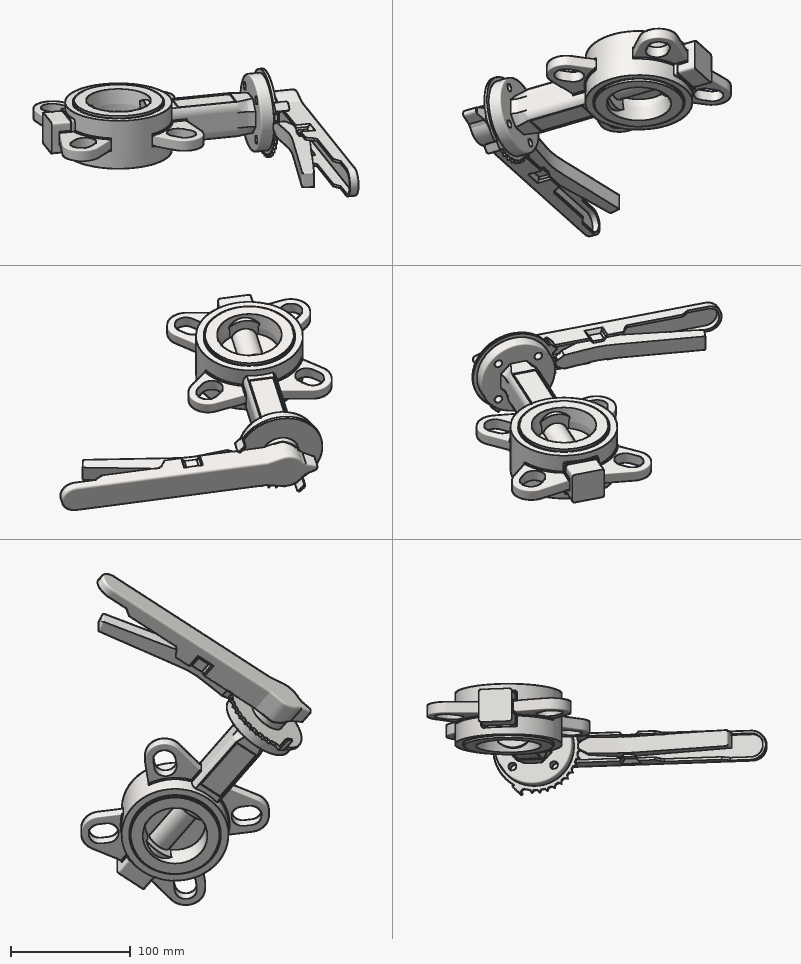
import cadquery as cq
import math


body_radius = 44.7
body_half = 21.5
seat_radius = 37.0
seat_half = 23.0
seat_gap_radius = 38.5
seat_gap_depth = 0.8
bore_mouth_radius = 27.0
bore_throat_radius = 25.3
throat_half = 10.4

disc_half = 3.5
disc_hub_radius = 11.0
stem_seat_radius = 19.7
stem_seat_y = 22.2

lug_center = 44.5
lug_radius = 16.5
lug_half = 4.8
lug_fillet = 0.8
lug_root = 1.0
slot_radius = 9.3
slot_inner = 40.5
slot_outer = 45.0
web_y = 55.3
web_start_x = 12.6
web_bend_x = 18.0
web_slope = 10.0

neck_half_x = 14.1
neck_half_z = 15.5
neck_flat_x = 11.0
neck_flat_z = 6.8
neck_corner_bulge = 0.8
neck_flare_y = 100.3
flare_mid_y = 109.0
flare_mid_flat_x = 8.3
flare_half_x = 15.7
flare_flat_x = 7.0
label_half_x = 10.0
label_bottom_y = 49.2
label_top_y = 99.5
label_depth = 1.0

foot_y = -62.0
foot_half_z = 14.0
foot_fillet = 2.3
root_y = -45.5
root_half_x = 15.2
root_half_z = 15.5

flange_bottom_y = 114.7
flange_top_y = 125.8
flange_radius = 32.8
flange_fillet = 1.3
bolt_offset = 17.7
bolt_radius = 3.3

plate_top_y = 128.3
plate_radius = 36.0
tooth_root_radius = 34.0
tooth_tip_radius = 38.5
tooth_count = 11
tooth_pitch = 10.0
tooth_sector_mid = 315.0
tab_angle = 70.0
tab_radius = 39.1
tab_width = 8.3
tab_thickness = 1.8
tab_arm = 7.5
tab_tilt = 20.0
tab_top_y = 138.1
tab_fillet = 2.0

hub_radius = 15.5
head_radius = 16.2
lever_top_y = 155.0
lever_bottom_y = 134.0
lever_half = 12.5
lever_tip_x = 191.7
lever_fillet = 2.0
lever_wall = 2.3
lever_roof = 2.0
cheek_start_x = 16.7
cavity_start_x = 19.2

tail_tip_x = -26.8
tail_tip_half = 3.0
tail_tip_y = 142.0
tail_slope_start_x = -24.5
tail_slope_end_x = -1.3
tail_neck_x = -16.7
tail_neck_half = 5.8
tail_root_half = 8.3

deep_end_x = 100.0
step_corner_x = 103.8
step_corner_y = 140.7
shallow_start_x = 106.3
shallow_y = 142.7
shallow_end_x = 155.3
grip_start_x = 161.6
grip_y = 147.2

dimple_x = 77.8
dimple_half_x = 8.0
dimple_top_y = 146.5
dimple_floor_z = 8.8
dimple_wall = 1.5
dimple_taper = 40.0

trigger_half = 6.8
trigger_end_fillet = 1.3
pawl_tip = (36.5, 124.0)
pawl_top = (38.5, 130.0)
pawl_tip_half = 2.5
pawl_root_x = 44.5
pawl_root_bottom_y = 124.8
pawl_root_top_y = 132.0
belly_start = (64.0, 126.8)
belly_top = (74.5, 127.5)
belly_end = (91.7, 125.8)
squeeze_end_bottom = (165.5, 113.0)
squeeze_end_top = (167.7, 122.7)
pivot_right = (83.3, 142.2)
pivot_left = (70.7, 144.0)


def box(x0, x1, y0, y1, z0, z1):
    return cq.Workplane("XY").box(x1 - x0, y1 - y0, z1 - z0, centered=False).translate((x0, y0, z0))


def disk_z(radius, z0, z1):
    return cq.Workplane("XY").workplane(offset=z0).circle(radius).extrude(z1 - z0)


def stem_plane(y):
    """Plane across the stem at height y: local x is X, local y is Z, normal is -Y."""
    return cq.Workplane("XZ", origin=(0, y, 0))


def disk_y(radius, y0, y1):
    return stem_plane(y1).circle(radius).extrude(y1 - y0)


def polar(radius, degrees):
    angle = math.radians(degrees)
    return (radius * math.cos(angle), radius * math.sin(angle))


def lug(half_z):
    """Slotted lug of the +X +Y quarter, reaching in to the body axis."""
    def on_rim(degrees):
        dx, dy = polar(lug_radius, degrees)
        return (lug_center + dx, lug_center + dy)

    bend_y = web_y + (web_bend_x - web_start_x) / 2 * math.tan(math.radians(web_slope))
    side_reach = lug_radius * math.sqrt(2)
    shape = (
        cq.Workplane("XY").workplane(offset=-half_z)
        .moveTo(0, 0)
        .lineTo(side_reach, 0)
        .lineTo(*on_rim(-45))
        .threePointArc(on_rim(30), on_rim(90 + web_slope))
        .lineTo(web_bend_x, bend_y)
        .tangentArcPoint((web_start_x, web_y), relative=False)
        .lineTo(0, web_y)
        .close()
        .extrude(2 * half_z)
    )
    shape = shape.faces("|Z").edges().fillet(lug_fillet)
    middle = (slot_inner + slot_outer) / 2
    length = (slot_outer - slot_inner) * math.sqrt(2) + 2 * slot_radius
    slot = (
        cq.Workplane("XY", origin=(middle, middle, -half_z))
        .slot2D(length, 2 * slot_radius, 45)
        .extrude(2 * half_z)
    )
    return shape.cut(slot)


def four_lugs(half_z):
    upper_right = lug(half_z)
    right = upper_right.union(upper_right.mirror("XZ"))
    return right.union(right.mirror("YZ"))


def lugs():
    """The four lugs with sloping roots against the body ring and the neck."""
    root_z = lug_half + lug_root
    ring_root = disk_z(body_radius + lug_root, -root_z, root_z).edges().chamfer(lug_root)
    neck_root_x = neck_half_x + lug_root
    neck_root = box(-neck_root_x, neck_root_x, -web_y, web_y, -root_z, root_z)
    neck_root = neck_root.edges("|Y").chamfer(lug_root)
    return four_lugs(lug_half).union(four_lugs(root_z).intersect(ring_root)).union(neck_root)


def neck_section(y):
    mid_x = (neck_half_x + neck_flat_x) / 2 + neck_corner_bulge
    mid_z = (neck_half_z + neck_flat_z) / 2 + neck_corner_bulge
    return (
        stem_plane(y)
        .moveTo(neck_half_x, -neck_flat_z)
        .lineTo(neck_half_x, neck_flat_z)
        .threePointArc((mid_x, mid_z), (neck_flat_x, neck_half_z))
        .lineTo(-neck_flat_x, neck_half_z)
        .threePointArc((-mid_x, mid_z), (-neck_half_x, neck_flat_z))
        .lineTo(-neck_half_x, -neck_flat_z)
        .threePointArc((-mid_x, -mid_z), (-neck_flat_x, -neck_half_z))
        .lineTo(neck_flat_x, -neck_half_z)
        .threePointArc((mid_x, -mid_z), (neck_half_x, -neck_flat_z))
        .close()
    )


def flare_section(y, half_x, flat_x):
    half_z, flat_z = neck_half_z, neck_flat_z
    points = [
        (half_x, -flat_z), (half_x, flat_z), (flat_x, half_z), (-flat_x, half_z),
        (-half_x, flat_z), (-half_x, -flat_z), (-flat_x, -half_z), (flat_x, -half_z),
    ]
    return stem_plane(y).polyline(points).close()


def ruled_loft(*sections):
    return cq.Workplane(cq.Solid.makeLoft([section.wire().val() for section in sections], True))


def neck():
    shaft = neck_section(neck_flare_y).extrude(neck_flare_y)
    middle = flare_section(flare_mid_y, neck_half_x, flare_mid_flat_x)
    end = flare_section(flange_bottom_y, flare_half_x, flare_flat_x)
    flare = ruled_loft(neck_section(neck_flare_y), middle, end)
    label = box(-label_half_x, label_half_x, label_bottom_y, label_top_y,
                neck_half_z - label_depth, neck_half_z)
    return shaft.cut(label).cut(label.mirror("XY")).union(flare)


def foot():
    """Square boss below the body, on a slightly wider root."""
    block = box(-neck_half_x, neck_half_x, foot_y, 0, -foot_half_z, foot_half_z)
    root = box(-root_half_x, root_half_x, root_y, 0, -root_half_z, root_half_z)
    return block.edges("|Y").fillet(foot_fillet).union(root.edges("|Y").fillet(foot_fillet))


def body():
    ring = disk_z(body_radius, -body_half, body_half)
    shape = ring.union(lugs()).union(neck()).union(foot())
    gap = (
        cq.Workplane("XY").workplane(offset=body_half - seat_gap_depth)
        .circle(seat_gap_radius).circle(seat_radius).extrude(seat_gap_depth)
    )
    shape = shape.cut(gap).cut(gap.mirror("XY"))
    shape = shape.union(disk_z(seat_radius, -seat_half, seat_half))
    return shape.cut(bore())


def bore():
    """Straight throat around the disc, opening as a cone towards both faces."""
    return (
        cq.Workplane("XZ")
        .moveTo(0, -seat_half)
        .lineTo(bore_mouth_radius, -seat_half)
        .lineTo(bore_throat_radius, -throat_half)
        .lineTo(bore_throat_radius, throat_half)
        .lineTo(bore_mouth_radius, seat_half)
        .lineTo(0, seat_half)
        .close()
        .revolve(360, (0, 0, 0), (0, 1, 0))
    )


def disc():
    """Closed disc on its stem hub, carried between two round stem seats in the bore."""
    plate = disk_z(bore_throat_radius, -disc_half, disc_half)
    hub = disk_y(disc_hub_radius, -stem_seat_y, stem_seat_y)
    upper_seat = disk_y(stem_seat_radius, stem_seat_y, body_radius)
    reach = disk_z((bore_mouth_radius + seat_radius) / 2, -seat_half, seat_half)
    seats = upper_seat.union(upper_seat.mirror("XZ")).intersect(reach)
    return plate.union(hub).union(seats)


def flange():
    shape = disk_y(flange_radius, flange_bottom_y, flange_top_y).faces("<Y").edges().fillet(flange_fillet)
    holes = (
        stem_plane(flange_top_y)
        .rect(2 * bolt_offset, 2 * bolt_offset, forConstruction=True)
        .vertices().circle(bolt_radius)
        .extrude(flange_top_y - flange_bottom_y)
    )
    return shape.cut(holes)


def ratchet_tab(side):
    """Stop tab at one end of the toothed sector; side is -1 or 1."""
    tab = (
        cq.Workplane("XY")
        .box(tab_thickness, tab_top_y - flange_top_y, tab_width)
        .edges("|X and >Y").fillet(tab_fillet)
        .translate((0, (tab_top_y + flange_top_y) / 2, 0))
    )
    angle = tooth_sector_mid + side * tab_angle
    x, z = polar(tab_radius - tab_thickness / 2, angle)
    arm = box(-tab_arm, 0, flange_top_y, plate_top_y, -tab_width / 2, tab_width / 2)
    turned = tab.union(arm).rotate((0, 0, 0), (0, 1, 0), -angle - side * tab_tilt)
    return turned.translate((x, 0, z))


def ratchet_plate():
    thickness = plate_top_y - flange_top_y
    plate = disk_y(plate_radius, flange_top_y, plate_top_y)
    first_tip = tooth_sector_mid - (tooth_count - 1) / 2 * tooth_pitch
    for index in range(tooth_count):
        tip = first_tip + index * tooth_pitch
        points = [
            polar(tooth_root_radius, tip - tooth_pitch / 2),
            polar(plate_radius, tip - tooth_pitch / 4),
            polar(tooth_tip_radius, tip),
            polar(plate_radius, tip + tooth_pitch / 4),
            polar(tooth_root_radius, tip + tooth_pitch / 2),
        ]
        tooth = stem_plane(plate_top_y).polyline(points).close().extrude(thickness)
        plate = plate.union(tooth)
    return plate.union(ratchet_tab(-1)).union(ratchet_tab(1))


def lever_plan():
    """Lever outline across the stem: pointed tail, round head, tapering cheeks and long round-ended grip."""
    cheek_reach = math.hypot(cheek_start_x, lever_half)
    cheek_angle = math.atan2(lever_half, cheek_start_x) + math.acos(head_radius / cheek_reach)
    tail_angle = math.pi - math.asin(tail_root_half / head_radius)
    cheek_x, cheek_z = polar(head_radius, math.degrees(cheek_angle))
    tail_x, tail_z = polar(head_radius, math.degrees(tail_angle))
    side_x, side_z = polar(head_radius, math.degrees((cheek_angle + tail_angle) / 2))
    grip_center_x = lever_tip_x - lever_half
    return (
        stem_plane(lever_top_y)
        .moveTo(cheek_x, -cheek_z)
        .lineTo(cheek_start_x, -lever_half)
        .lineTo(grip_center_x, -lever_half)
        .threePointArc((lever_tip_x, 0), (grip_center_x, lever_half))
        .lineTo(cheek_start_x, lever_half)
        .lineTo(cheek_x, cheek_z)
        .threePointArc((side_x, side_z), (tail_x, tail_z))
        .lineTo(tail_neck_x, tail_neck_half)
        .lineTo(tail_slope_start_x, tail_tip_half)
        .threePointArc((tail_tip_x, 0), (tail_slope_start_x, -tail_tip_half))
        .lineTo(tail_neck_x, -tail_neck_half)
        .lineTo(tail_x, -tail_z)
        .threePointArc((side_x, -side_z), (cheek_x, -cheek_z))
        .close()
        .extrude(lever_top_y - lever_bottom_y)
    )


def lever_profile():
    """Side outline of the lever: sloping tail, deep middle and thin grip."""
    return (
        cq.Workplane("XY").workplane(offset=-head_radius)
        .moveTo(tail_tip_x, lever_top_y)
        .lineTo(tail_tip_x, tail_tip_y)
        .lineTo(tail_slope_start_x, tail_tip_y)
        .lineTo(tail_slope_end_x, lever_bottom_y)
        .lineTo(deep_end_x, lever_bottom_y)
        .lineTo(step_corner_x, step_corner_y)
        .lineTo(shallow_start_x, shallow_y)
        .lineTo(shallow_end_x, shallow_y)
        .lineTo(grip_start_x, grip_y)
        .lineTo(lever_tip_x, grip_y)
        .lineTo(lever_tip_x, lever_top_y)
        .close()
        .extrude(2 * head_radius)
    )


def lever_cavity():
    """Hollow under the lever, leaving side walls and a roof."""
    half = lever_half - lever_wall
    end_x = lever_tip_x - lever_half
    roof_y = lever_top_y - lever_roof
    return (
        stem_plane(roof_y)
        .moveTo(cavity_start_x, -half)
        .lineTo(end_x, -half)
        .threePointArc((end_x + half, 0), (end_x, half))
        .lineTo(cavity_start_x, half)
        .close()
        .extrude(roof_y - lever_bottom_y)
    )


def dimple(half_x, top_y, outer_z, inner_z):
    """Tapered plug on the +Z wall, narrowing inwards and open at the lower edge of the lever."""
    height = 2 * (top_y - lever_bottom_y)
    plug = (
        cq.Workplane("XY", origin=(dimple_x, lever_bottom_y, outer_z))
        .rect(2 * half_x, height)
        .extrude(inner_z - outer_z, taper=dimple_taper)
    )
    return plug.intersect(box(0, lever_tip_x, lever_bottom_y, lever_top_y, 0, head_radius))


def lever():
    shape = lever_plan().faces(">Y").edges().fillet(lever_fillet)
    shape = shape.intersect(lever_profile()).cut(lever_cavity())
    wall_middle_z = lever_half - lever_wall / 2
    boss = dimple(dimple_half_x, dimple_top_y + dimple_wall, wall_middle_z, trigger_half)
    pocket = dimple(dimple_half_x, dimple_top_y, lever_half, dimple_floor_z)
    shape = shape.union(boss).union(boss.mirror("XY"))
    return shape.cut(pocket).cut(pocket.mirror("XY"))


def trigger():
    """Squeeze trigger held between the dimples, ending in a wedge-shaped pawl."""
    shape = (
        cq.Workplane("XY").workplane(offset=-trigger_half)
        .moveTo(*pawl_tip)
        .lineTo(pawl_root_x, pawl_root_bottom_y)
        .lineTo(*belly_start)
        .threePointArc(belly_top, belly_end)
        .lineTo(*squeeze_end_bottom)
        .lineTo(*squeeze_end_top)
        .lineTo(*pivot_right)
        .lineTo(*pivot_left)
        .lineTo(pawl_root_x, pawl_root_top_y)
        .lineTo(*pawl_top)
        .close()
        .extrude(2 * trigger_half)
    )
    shape = shape.faces(">X").edges().fillet(trigger_end_fillet)
    tip_x = pawl_tip[0]
    plan = (
        stem_plane(lever_top_y)
        .moveTo(tip_x, -pawl_tip_half)
        .lineTo(pawl_root_x, -trigger_half)
        .lineTo(lever_tip_x, -trigger_half)
        .lineTo(lever_tip_x, trigger_half)
        .lineTo(pawl_root_x, trigger_half)
        .lineTo(tip_x, pawl_tip_half)
        .close()
        .extrude(lever_top_y)
    )
    return shape.intersect(plan)


result = (
    body()
    .union(disc())
    .union(flange())
    .union(ratchet_plate())
    .union(disk_y(hub_radius, plate_top_y, lever_top_y - lever_roof))
    .union(lever())
    .union(trigger())
)